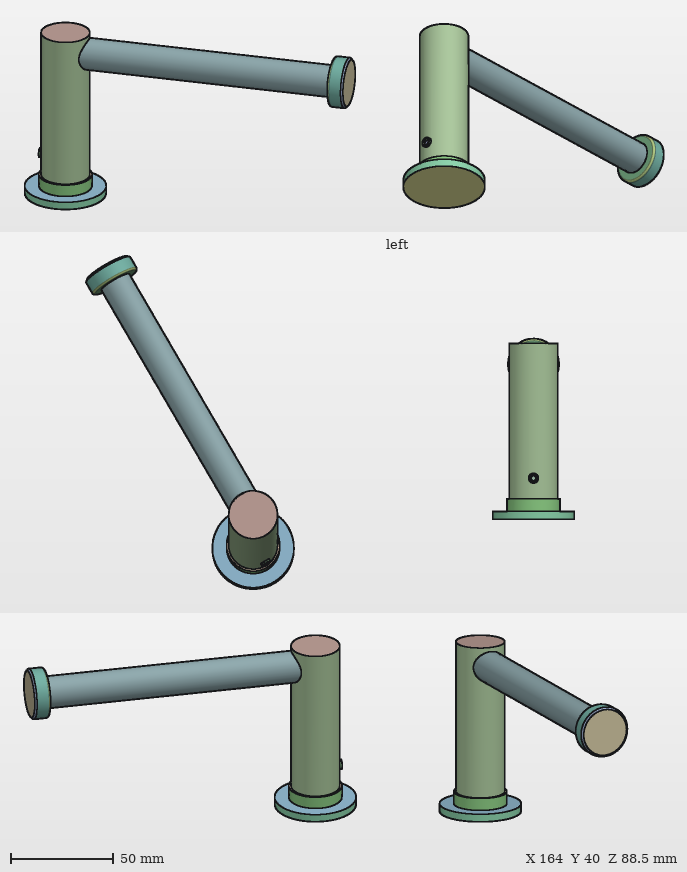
import cadquery as cq

plate_diameter = 40.0
plate_thickness = 4.0
collar_diameter = 26.0
collar_height = 6.0
collar_top = plate_thickness + collar_height

overall_length = 164.0
overall_height = 88.5
post_diameter = 24.0
post_top = 86.1
arm_diameter = 15.9
knob_diameter = 25.1
knob_width = 8.0
knob_chamfer = 1.0
knob_fillet = 1.0
knob_end = overall_length - plate_diameter / 2
knob_start = knob_end - knob_width
arm_axis_height = overall_height - knob_diameter / 2

screw_diameter = 4.8
screw_length = 6.5
screw_axis_height = 20.2
screw_outer_end = -collar_diameter / 2
socket_diameter = 2.5
socket_mouth_chamfer = 0.7
socket_depth = 2.5


def rod_along_x(diameter, start, length, height):
    """Cylinder that runs along +X from start, with its axis at the given height."""
    return (
        cq.Workplane("YZ", origin=(start, 0, height))
        .circle(diameter / 2)
        .extrude(length)
    )


def make_base():
    plate = cq.Workplane("XY").circle(plate_diameter / 2).extrude(plate_thickness)
    return plate.faces(">Z").workplane().circle(collar_diameter / 2).extrude(collar_height)


def make_screw_blank():
    return rod_along_x(screw_diameter, screw_outer_end, screw_length, screw_axis_height)


def make_holder():
    post = (
        cq.Workplane("XY", origin=(0, 0, collar_top))
        .circle(post_diameter / 2)
        .extrude(post_top - collar_top)
    )
    arm = rod_along_x(arm_diameter, 0, knob_start, arm_axis_height)
    knob = rod_along_x(knob_diameter, knob_start, knob_width, arm_axis_height)
    knob = knob.faces(">X").edges().chamfer(knob_chamfer)
    knob = knob.faces("<X").edges().fillet(knob_fillet)
    return post.union(arm).union(knob).cut(make_screw_blank())


def make_set_screw():
    socket = rod_along_x(socket_diameter, screw_outer_end, socket_depth, screw_axis_height)
    mouth = cq.Workplane(cq.Solid.makeCone(
        socket_diameter / 2 + socket_mouth_chamfer,
        socket_diameter / 2,
        socket_mouth_chamfer,
        pnt=cq.Vector(screw_outer_end, 0, screw_axis_height),
        dir=cq.Vector(1, 0, 0),
    ))
    return make_screw_blank().cut(socket).cut(mouth)


base = make_base()
holder = make_holder()
set_screw = make_set_screw()

result = cq.Compound.makeCompound([base.val(), holder.val(), set_screw.val()])